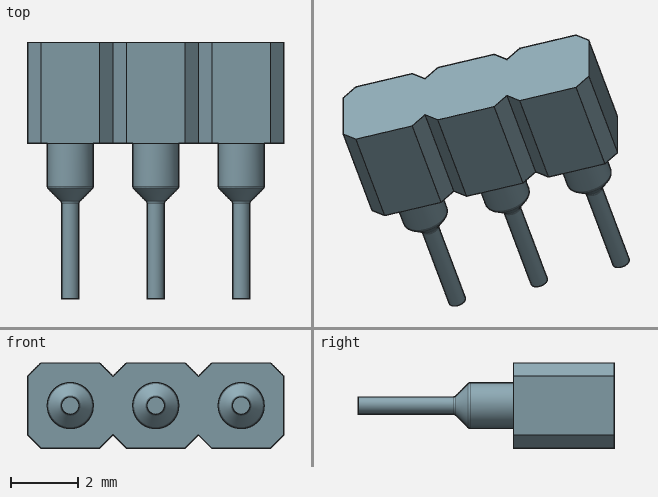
import cadquery as cq

overall_length = 7.62
pin_count = 3
pitch = overall_length / pin_count

housing_height = pitch
housing_depth = 3.0
corner_cut = 0.4

barrel_radius = 0.685
barrel_length = 1.32
tail_radius = 0.26
pin_length = overall_length - housing_depth
cone_length = barrel_radius - tail_radius
blend_radius = 0.1

pin_positions = [(i - (pin_count - 1) / 2) * pitch for i in range(pin_count)]


def make_housing():
    """Row of square cells with cut corners; neighbouring cuts form V grooves along Y."""
    half_pitch = pitch / 2
    half_height = housing_height / 2

    top_edge = []
    for x in pin_positions:
        top_edge += [
            (x - half_pitch, half_height - corner_cut),
            (x - half_pitch + corner_cut, half_height),
            (x + half_pitch - corner_cut, half_height),
        ]
    top_edge.append((overall_length / 2, half_height - corner_cut))
    bottom_edge = [(x, -z) for x, z in reversed(top_edge)]

    return cq.Workplane("XZ").polyline(top_edge + bottom_edge).close().extrude(-housing_depth)


def make_pin(x):
    """Barrel, cone and thin tail turned about Y, seated against the housing face at y = 0."""
    cone_start = -barrel_length
    cone_end = cone_start - cone_length
    half_profile = [
        (0, 0),
        (barrel_radius, 0),
        (barrel_radius, cone_start),
        (tail_radius, cone_end),
        (tail_radius, -pin_length),
        (0, -pin_length),
    ]
    pin = cq.Workplane("XY").polyline(half_profile).close().revolve(360, (0, 0), (0, 1))

    cone_ends = pin.faces("%CONE").edges("%CIRCLE")
    blended_pin = cone_ends.fillet(blend_radius)
    return blended_pin.translate((x, 0, 0)).solids()


housing = make_housing()
pins = [make_pin(x) for x in pin_positions]

result = cq.Compound.makeCompound([housing.val(), *[pin.val() for pin in pins]])